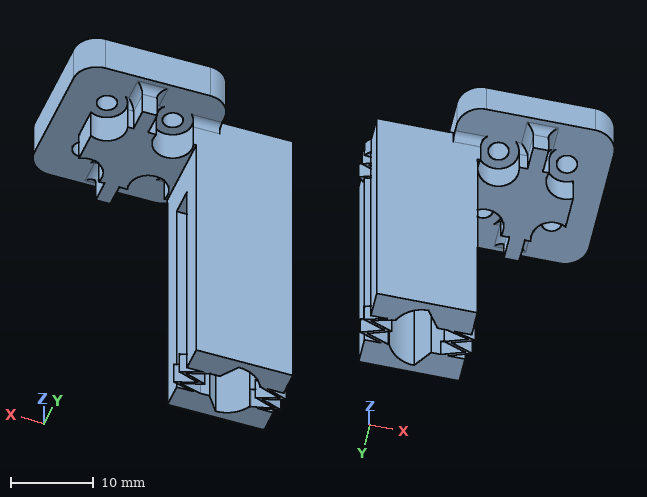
import cadquery as cq
import math


column_length = 12.5
column_width = 10.0
column_height = 40.0
slot_width = 3.55
rear_slot_height = 30.0

bore_radius = 4.0
bore_center_x = 6.65
bore_apex_x = 9.55

plate_size = 19.5
plate_thickness = 5.0
plate_corner_radius = 3.0
plate_start_x = 9.5
plate_bottom = 39.0

boss_bottom = 35.0
boss_end_x = 25.0
rib_center_x = 19.65
rib_width = 1.9
rib_length = 16.2
root_fillet = 1.0

screw_center_x = 19.5
screw_circle_diameter = 12.0
screw_hole_diameter = 2.5
screw_head_diameter = 5.0

spring_height = 3.0
spring_outer_x = -0.72
spring_inner_x = 2.95
spring_mitre = 0.9
upper_tips_y = (1.84, -0.08, -1.36)
upper_valleys_y = (0.92, -0.98)
upper_start_y = 2.4
upper_end_y = -2.05
lower_tips_y = (0.82, -1.06)
lower_valley_y = -0.12
rear_spring_outer_x = 13.15

plate_top = plate_bottom + plate_thickness


def box(x_min, x_max, width, z_min, z_max):
    """Block centred on Y = 0."""
    return (
        cq.Workplane("XY", origin=((x_min + x_max) / 2, 0, z_min))
        .box(x_max - x_min, width, z_max - z_min, centered=(True, True, False))
    )


def make_column():
    """Solid column, before its openings are cut."""
    return box(0, column_length, column_width, 0, column_height)


def make_column_openings():
    """Bore along the column, with the slots that open it to the front and to the rear."""
    bore = (
        cq.Workplane("XY")
        .moveTo(bore_center_x, bore_radius)
        .threePointArc((bore_center_x - bore_radius, 0), (bore_center_x, -bore_radius))
        .lineTo(bore_apex_x, 0)
        .close()
        .extrude(column_height)
    )
    front_slot = box(0, bore_center_x, slot_width, 0, column_height)
    rear_slot = box(bore_center_x, column_length, slot_width, 0, rear_slot_height)
    return bore.union(front_slot).union(rear_slot)


def make_plate():
    """Rounded square plate."""
    plate = box(plate_start_x, plate_start_x + plate_size, plate_size, plate_bottom, plate_top)
    return plate.edges("|Z").fillet(plate_corner_radius)


def flared_block(plane, width, length):
    """Block under the plate whose two sides curve outwards into the plate's underside."""
    half_width = width / 2
    fillet_start = plate_bottom - root_fillet
    arc_inset = root_fillet * (1 - math.sqrt(0.5))
    right_middle = (half_width + arc_inset, plate_bottom - arc_inset)
    left_middle = (-right_middle[0], right_middle[1])
    return (
        cq.Workplane(plane)
        .moveTo(-half_width, boss_bottom)
        .lineTo(half_width, boss_bottom)
        .lineTo(half_width, fillet_start)
        .threePointArc(right_middle, (half_width + root_fillet, plate_bottom))
        .lineTo(-half_width - root_fillet, plate_bottom)
        .threePointArc(left_middle, (-half_width, fillet_start))
        .close()
        .extrude(length / 2, both=True)
    )


def make_head():
    """Plate with the boss and cross rib below it, filleted where they meet, and the screw holes."""
    boss_length = boss_end_x - plate_start_x
    boss = flared_block("YZ", column_width, boss_length)
    boss = boss.translate((plate_start_x + boss_length / 2, 0, 0))
    rib_sides = flared_block("XZ", rib_width, plate_size)
    rib_ends = flared_block("YZ", rib_length, plate_size)
    rib = rib_sides.intersect(rib_ends).translate((rib_center_x, 0, 0))
    head = make_plate().union(boss).union(rib)

    screw_spacing = screw_circle_diameter / math.sqrt(2)
    screws = cq.Workplane("XY", origin=(screw_center_x, 0, boss_bottom)).rarray(
        screw_spacing, screw_spacing, 2, 2
    )
    head_clearances = screws.circle(screw_head_diameter / 2).extrude(plate_bottom - boss_bottom)
    holes = screws.circle(screw_hole_diameter / 2).extrude(plate_top - boss_bottom)
    return head.cut(head_clearances).cut(holes)


def make_upper_spring():
    """Zigzag with three outer tips, its end teeth running onto the column's -X face."""
    tip_1, tip_2, tip_3 = upper_tips_y
    valley_1, valley_2 = upper_valleys_y
    slot_edge = slot_width / 2
    outer_valley_x = spring_inner_x - spring_mitre
    inner_tip_x = spring_outer_x + spring_mitre
    outline = [
        (0, upper_start_y),
        (spring_outer_x, tip_1),
        (outer_valley_x, valley_1),
        (spring_outer_x, tip_2),
        (outer_valley_x, valley_2),
        (spring_outer_x, tip_3),
        (0, upper_end_y),
        (spring_inner_x, -slot_edge),
        (inner_tip_x, tip_3),
        (spring_inner_x, valley_2),
        (inner_tip_x, tip_2),
        (spring_inner_x, valley_1),
        (inner_tip_x, tip_1),
        (spring_inner_x, slot_edge),
    ]
    return (
        cq.Workplane("XY", origin=(0, 0, column_height - spring_height))
        .polyline(outline)
        .close()
        .extrude(spring_height)
    )


def make_lower_spring():
    """Zigzag with two outer tips, at the foot of the front slot."""
    tip_1, tip_2 = lower_tips_y
    slot_edge = slot_width / 2
    outer_valley_x = spring_inner_x - spring_mitre
    inner_tip_x = spring_outer_x + spring_mitre
    outline = [
        (outer_valley_x, slot_edge),
        (spring_outer_x, tip_1),
        (outer_valley_x, lower_valley_y),
        (spring_outer_x, tip_2),
        (outer_valley_x, -slot_edge),
        (spring_inner_x, -slot_edge),
        (inner_tip_x, tip_2),
        (spring_inner_x, lower_valley_y),
        (inner_tip_x, tip_1),
        (spring_inner_x, slot_edge),
    ]
    return cq.Workplane("XY").polyline(outline).close().extrude(spring_height)


def make_part():
    """Column and head as one body, with its three springs."""
    body = make_column().union(make_head()).cut(make_column_openings())
    lower_spring = make_lower_spring()
    mirror_x = (spring_outer_x + rear_spring_outer_x) / 2
    rear_spring = lower_spring.mirror("YZ", (mirror_x, 0, 0))
    return body.union(make_upper_spring()).union(lower_spring).union(rear_spring)


result = make_part()